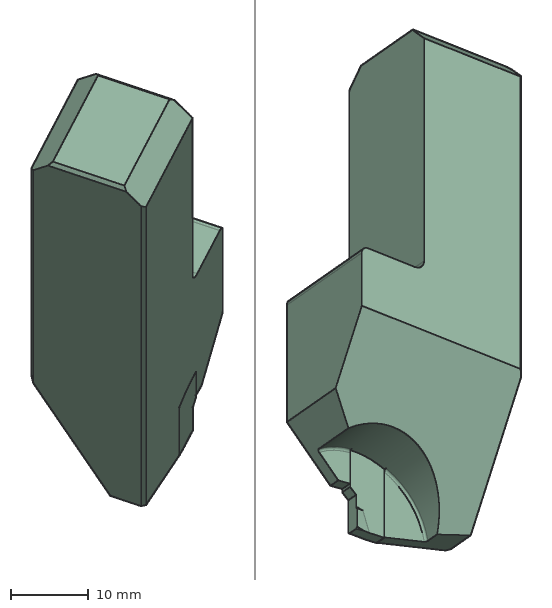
import cadquery as cq
import math

shank_size = 15.95
height = 70.0
foot_depth = 26.0
foot_top = 31.9
foot_corner_radius = 1.0
shank_root_radius = 1.55
side_bevel = 3.0
edge_chamfer = 0.5

heel_height = 3.5
underside_angle = 15.0
back_bevel = 7.0
back_bevel_bottom = 6.2
ledge_rise = 0.2
slant_top = 22.9
slant_angle = 60.0

clearance_radius = 11.3
clearance_y = 15.95
clearance_z = 0.3
clearance_fillet = 0.35
blade_thickness = 1.7
blade_x = shank_size - blade_thickness

insert_front = 11.55
insert_back = 17.1
cutting_face = 16.1
shoulder_bottom = 5.1
shoulder_top = 5.95
tip_height = 3.15
tip_overhang = 0.2
tip_upper_length = 1.05
tip_lower_length = 2.2
nose_chamfer = 0.2
insert_heel = 0.35

underside_drop = insert_front * math.tan(math.radians(underside_angle))
underside_end = heel_height - underside_drop


def extrude_side_outline(outline, start_x, end_x):
    """Extrude a closed Y-Z outline along X."""
    return outline.close().extrude(end_x - start_x).translate((start_x, 0, 0))


def make_holder_blank():
    """Shank, foot and lower end, with rounded foot corners."""
    ledge_y = foot_depth - back_bevel
    outline = (
        cq.Workplane("YZ")
        .moveTo(0, heel_height)
        .lineTo(insert_front, underside_end)
        .lineTo(insert_back, underside_end)
        .lineTo(insert_back, back_bevel_bottom + ledge_rise)
        .lineTo(ledge_y, back_bevel_bottom)
        .lineTo(foot_depth, back_bevel_bottom + back_bevel)
        .lineTo(foot_depth, foot_top)
        .lineTo(shank_size, foot_top)
        .lineTo(shank_size, height)
        .lineTo(0, height)
    )
    blank = extrude_side_outline(outline, 0, shank_size)
    root = cq.selectors.NearestToPointSelector((shank_size / 2, shank_size, foot_top))
    blank = blank.edges(root).fillet(shank_root_radius)
    corner = cq.selectors.NearestToPointSelector((shank_size / 2, foot_depth, foot_top))
    blank = blank.edges(corner).fillet(foot_corner_radius)
    blank = blank.faces("<Y").edges("|Z or >Z").chamfer(edge_chamfer)
    return blank.faces(">Z").edges(">Y").chamfer(edge_chamfer)


def make_front_envelope():
    """X-Z outline with the top bevels and the slanted lower side."""
    slant_width = slant_top / math.tan(math.radians(slant_angle))
    return (
        cq.Workplane("XZ")
        .moveTo(0, slant_top)
        .lineTo(0, height - side_bevel)
        .lineTo(side_bevel, height)
        .lineTo(shank_size - side_bevel, height)
        .lineTo(shank_size, height - side_bevel)
        .lineTo(shank_size, 0)
        .lineTo(slant_width, 0)
        .close()
        .extrude(-foot_depth)
    )


def make_clearance_disc(end_x):
    """Cylinder along X around the insert, from X = 0 to end_x."""
    return (
        cq.Workplane("YZ")
        .center(clearance_y, clearance_z)
        .circle(clearance_radius)
        .extrude(end_x)
    )


def make_insert_blade():
    """Flat insert with a stepped cutting side and an arched upper end."""
    outline = (
        cq.Workplane("YZ")
        .moveTo(insert_front, insert_heel)
        .lineTo(cutting_face, 0)
        .lineTo(cutting_face, shoulder_bottom)
        .lineTo(insert_back, shoulder_top)
        .lineTo(insert_back, clearance_z + clearance_radius)
        .lineTo(insert_front, clearance_z + clearance_radius)
    )
    blade = extrude_side_outline(outline, blade_x, shank_size)
    return blade.intersect(make_clearance_disc(shank_size))


def make_insert_tip():
    """Widened cutting tip whose side tapers back into the blade."""
    outline = (
        cq.Workplane("XY")
        .moveTo(blade_x - tip_overhang, cutting_face)
        .lineTo(shank_size, cutting_face)
        .lineTo(shank_size, cutting_face - tip_lower_length)
        .lineTo(blade_x, cutting_face - tip_lower_length)
        .close()
    )
    tip = outline.workplane(offset=tip_height)
    tip = (
        tip.moveTo(blade_x - tip_overhang, cutting_face)
        .lineTo(shank_size, cutting_face)
        .lineTo(shank_size, cutting_face - tip_upper_length)
        .lineTo(blade_x, cutting_face - tip_upper_length)
        .close()
        .loft(ruled=True)
    )
    tip_underside = (
        cq.Workplane("YZ")
        .moveTo(insert_front, insert_heel)
        .lineTo(cutting_face, 0)
        .lineTo(insert_front, 0)
    )
    return tip.cut(extrude_side_outline(tip_underside, 0, shank_size))


def make_insert_envelope():
    """Block around the insert with its two lower long edges bevelled."""
    return (
        cq.Workplane("XY")
        .box(blade_thickness + tip_overhang, foot_depth, height, centered=False)
        .translate((blade_x - tip_overhang, 0, 0))
        .faces("<Z").edges("|Y").chamfer(nose_chamfer)
    )


insert = make_insert_blade().union(make_insert_tip()).intersect(make_insert_envelope())

clearance = make_clearance_disc(blade_x).faces(">X").edges().fillet(clearance_fillet)
insert_strip = (
    cq.Workplane("XY")
    .box(shank_size, insert_back - insert_front, height, centered=False)
    .translate((0, insert_front, 0))
)
insert_slot = make_clearance_disc(shank_size).intersect(insert_strip)
holder = make_holder_blank().intersect(make_front_envelope()).cut(clearance).cut(insert_slot)

result = cq.Compound.makeCompound([holder.val(), insert.val()])